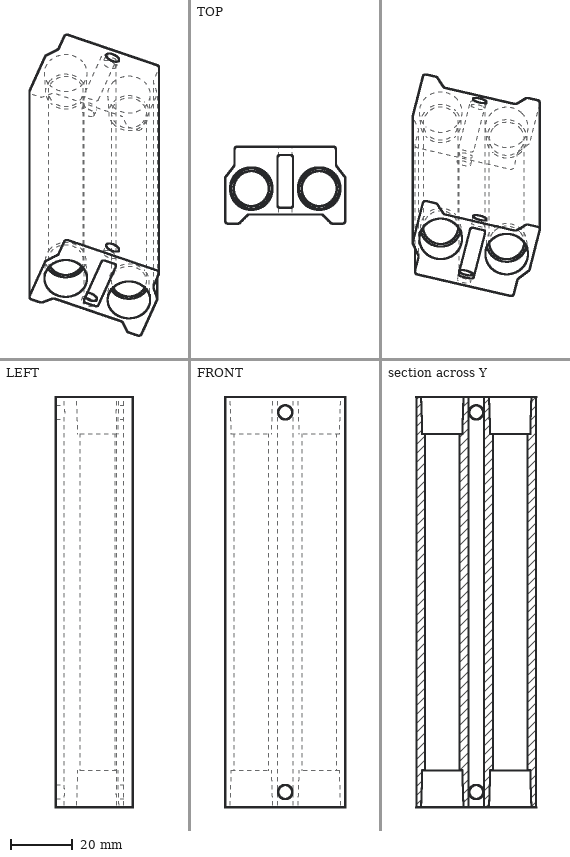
import cadquery as cq
import math

width = 39.0
depth = 25.0
length = 133.0

back_width = 33.0
back_corner_radius = 1.0
shoulder_start = 6.15
shoulder_end = 10.0
shoulder_radius = 0.8
recess_depth = 3.0
recess_floor_width = 24.0
recess_mouth_width = recess_floor_width + 2 * recess_depth
recess_radius = 1.0
foot_corner_radius = 1.0

bore_spacing = 22.0
bore_diameter = 11.3
mouth_diameter = 13.8
mouth_depth = 12.0
mouth_taper = 1 / 16
bore_setback = 13.6

slot_width = 5.0
slot_depth = 17.0
slot_setback = 2.75
slot_corner_radius = 0.8

cross_hole_diameter = 4.5
cross_hole_end_distance = 5.0

back_y = depth / 2
front_y = -depth / 2
bore_y = back_y - bore_setback
mouth_wall_angle = math.degrees(math.atan(mouth_taper / 2))


def fillet_lengthwise_edges(body, radius, half_x, y):
    """Round the mirrored pair of lengthwise edges at X = +/-half_x and the given Y."""
    for x in (-half_x, half_x):
        body = body.edges(cq.selectors.NearestToPointSelector((x, y, length / 2))).fillet(radius)
    return body


def make_body():
    right_half = [
        (back_width / 2, back_y),
        (back_width / 2, back_y - shoulder_start),
        (width / 2, back_y - shoulder_end),
        (width / 2, front_y),
        (recess_mouth_width / 2, front_y),
        (recess_floor_width / 2, front_y + recess_depth),
    ]
    left_half = [(-x, y) for x, y in reversed(right_half)]
    body = cq.Workplane("XY").polyline(right_half + left_half).close().extrude(length)
    radii = [
        back_corner_radius,
        shoulder_radius,
        shoulder_radius,
        foot_corner_radius,
        recess_radius,
        recess_radius,
    ]
    for (half_x, y), radius in zip(right_half, radii):
        body = fillet_lengthwise_edges(body, radius, half_x, y)
    return body


def cut_bores(body):
    centers = [(-bore_spacing / 2, bore_y), (bore_spacing / 2, bore_y)]
    bores = cq.Workplane("XY").pushPoints(centers).circle(bore_diameter / 2).extrude(length)
    top_mouths = (
        cq.Workplane("XY", origin=(0, 0, length))
        .pushPoints(centers)
        .circle(mouth_diameter / 2)
        .extrude(-mouth_depth, taper=mouth_wall_angle)
    )
    bottom_mouths = top_mouths.mirror("XY", (0, 0, length / 2))
    return body.cut(bores).cut(top_mouths).cut(bottom_mouths)


def cut_slot(body):
    slot = (
        cq.Workplane("XY")
        .center(0, back_y - slot_setback - slot_depth / 2)
        .rect(slot_width, slot_depth)
        .extrude(length)
        .edges("|Z")
        .fillet(slot_corner_radius)
    )
    return body.cut(slot)


def cut_cross_holes(body):
    for z in (cross_hole_end_distance, length - cross_hole_end_distance):
        hole = (
            cq.Workplane("XZ", origin=(0, back_y, z))
            .circle(cross_hole_diameter / 2)
            .extrude(depth)
        )
        body = body.cut(hole)
    return body


result = cut_cross_holes(cut_slot(cut_bores(make_body())))